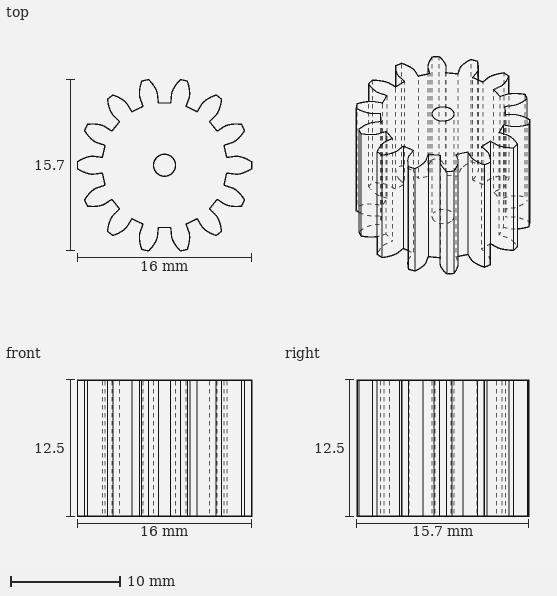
import cadquery as cq
import math

MODULE = 1.0
TOOTH_COUNT = 14
PRESSURE_ANGLE = 20.0
ADDENDUM_FACTOR = 1.0
DEDENDUM_FACTOR = 1.25
FACE_WIDTH = 12.5
BORE_DIAMETER = 2.0
FLANK_SPANS = 6

PITCH_RADIUS = MODULE * TOOTH_COUNT / 2
BASE_RADIUS = PITCH_RADIUS * math.cos(math.radians(PRESSURE_ANGLE))
TIP_RADIUS = PITCH_RADIUS + ADDENDUM_FACTOR * MODULE
ROOT_RADIUS = PITCH_RADIUS - DEDENDUM_FACTOR * MODULE

TOOTH_PITCH = 2 * math.pi / TOOTH_COUNT


def involute_angle(radius):
    """Polar angle swept by the involute between the base circle and a radius."""
    pressure = math.acos(BASE_RADIUS / radius)
    return math.tan(pressure) - pressure


BASE_HALF_ANGLE = TOOTH_PITCH / 4 + involute_angle(PITCH_RADIUS)


def polar(radius, angle):
    return (radius * math.cos(angle), radius * math.sin(angle))


def flank_points(tooth_angle, side):
    """Points on one involute flank from base circle to tip; side is -1 or +1."""
    points = []
    for i in range(FLANK_SPANS + 1):
        radius = BASE_RADIUS + (TIP_RADIUS - BASE_RADIUS) * i / FLANK_SPANS
        half_angle = BASE_HALF_ANGLE - involute_angle(radius)
        points.append(polar(radius, tooth_angle + side * half_angle))
    return points


def add_tooth(outline, tooth_angle):
    """Extend the outline over one tooth and the root gap that follows it."""
    rising = flank_points(tooth_angle, -1)
    falling = flank_points(tooth_angle, 1)[::-1]
    next_tooth_start = tooth_angle + TOOTH_PITCH - BASE_HALF_ANGLE

    outline = outline.lineTo(*rising[0])
    outline = outline.spline(rising[1:], includeCurrent=True)
    outline = outline.lineTo(*falling[0])
    outline = outline.spline(falling[1:], includeCurrent=True)
    outline = outline.lineTo(*polar(ROOT_RADIUS, tooth_angle + BASE_HALF_ANGLE))
    return outline.lineTo(*polar(ROOT_RADIUS, next_tooth_start))


def make_gear_blank():
    """Toothed prism with one tooth centred on the +X axis."""
    outline = cq.Workplane("XY").moveTo(*polar(ROOT_RADIUS, -BASE_HALF_ANGLE))
    for i in range(TOOTH_COUNT):
        outline = add_tooth(outline, i * TOOTH_PITCH)
    return outline.close().extrude(FACE_WIDTH)


def make_bore():
    """Cylinder that cuts the through bore along the gear axis."""
    return cq.Workplane("XY").circle(BORE_DIAMETER / 2).extrude(FACE_WIDTH)


result = make_gear_blank().cut(make_bore())